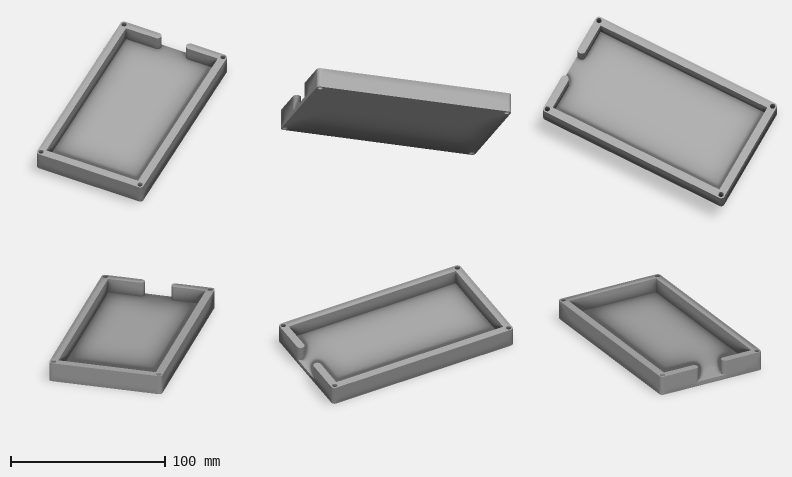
import cadquery as cq

width = 76.0
length = 133.0
height = 13.0
corner_radius = 2.3

wall = 5.2
floor = 3.0

opening_width = 18.1
opening_center_x = 0.1
wall_end_radius = wall / 2

hole_diameter = 3.5
hole_inset = wall / 2


def outer_block():
    block = cq.Workplane("XY").box(width, length, height, centered=(True, True, False))
    return block.edges("|Z").fillet(corner_radius)


def pocket():
    return (
        cq.Workplane("XY", origin=(0, 0, floor))
        .rect(width - 2 * wall, length - 2 * wall)
        .extrude(height - floor)
    )


def wall_opening():
    """Passage through the +Y wall whose flanks leave half-round wall ends."""
    wall_center_y = length / 2 - wall / 2
    half_gap = opening_width / 2
    passage = (
        cq.Workplane("XY", origin=(opening_center_x, wall_center_y, floor))
        .rect(opening_width + 2 * wall_end_radius, wall)
        .extrude(height - floor)
    )
    rounded_ends = (
        cq.Workplane("XY", origin=(opening_center_x, wall_center_y, floor))
        .pushPoints([(side * (half_gap + wall_end_radius), 0) for side in (-1, 1)])
        .circle(wall_end_radius)
        .extrude(height - floor)
    )
    return passage.cut(rounded_ends)


def screw_holes():
    return (
        cq.Workplane("XY")
        .rect(width - 2 * hole_inset, length - 2 * hole_inset, forConstruction=True)
        .vertices()
        .circle(hole_diameter / 2)
        .extrude(height)
    )


result = outer_block().cut(pocket()).cut(wall_opening()).cut(screw_holes())